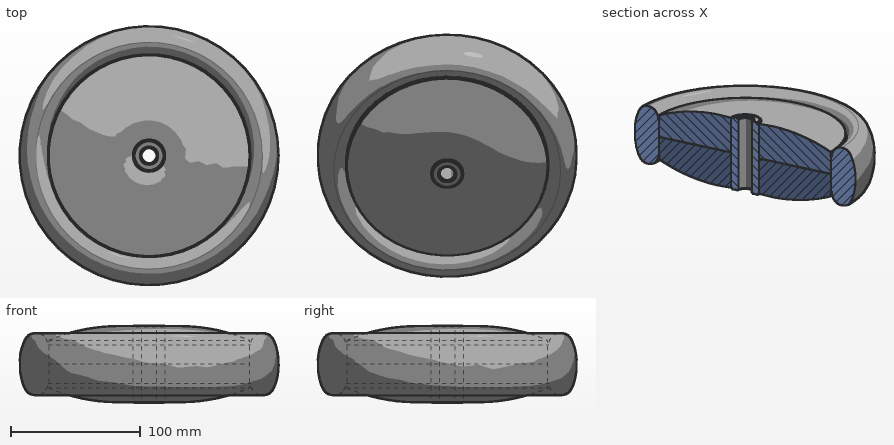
import cadquery as cq
import math

wheel_radius = 100.0
hub_half_length = 30.0

tyre_half_width = 24.0
crest_radius = 87.5
crown_edge = (97.8, 14.5)
shoulder = (93.2, 22.2)
lip_radius = 78.2

cover_radius = 77.5
cover_rim_height = 18.5
dome_mid_radius = 56.5
dome_mid_height = 25.5
dome_hub_height = 29.0

hub_radius = 12.5
bore_radius = 5.8
hub_chamfer = 1.2


def revolve_about_axle(profile):
    """Turn a closed (radius, height) profile once around the Z axis."""
    return profile.close().revolve(360, (0, 0, 0), (0, 1, 0))


def make_tyre():
    """Rounded ring, with a narrow ledge beside each cover's edge."""
    def mirrored(point):
        return (point[0], -point[1])

    inner_round = crest_radius - lip_radius
    ledge_height = tyre_half_width - inner_round
    diagonal = inner_round * math.sqrt(0.5)
    inner_mid = (crest_radius - diagonal, ledge_height + diagonal)
    crest = (crest_radius, tyre_half_width)
    lip = (lip_radius, ledge_height)
    ledge = (cover_radius, ledge_height)
    tread = [
        mirrored(shoulder),
        mirrored(crown_edge),
        (wheel_radius, 0),
        crown_edge,
        shoulder,
        crest,
    ]

    profile = (
        cq.Workplane("XZ")
        .moveTo(*mirrored(ledge))
        .lineTo(*mirrored(lip))
        .threePointArc(mirrored(inner_mid), mirrored(crest))
        .spline(tread, includeCurrent=True)
        .threePointArc(inner_mid, lip)
        .lineTo(*ledge)
    )
    return revolve_about_axle(profile)


def make_cover(side):
    """Domed disc from the mid-plane outwards; side is +1 (top) or -1 (bottom)."""
    profile = (
        cq.Workplane("XZ")
        .moveTo(hub_radius, 0)
        .lineTo(cover_radius, 0)
        .lineTo(cover_radius, side * cover_rim_height)
        .threePointArc(
            (dome_mid_radius, side * dome_mid_height),
            (hub_radius, side * dome_hub_height),
        )
    )
    return revolve_about_axle(profile)


def make_hub():
    """Sleeve through both covers, chamfered at the bore and rim of each end."""
    return (
        cq.Workplane("XY")
        .workplane(offset=-hub_half_length)
        .circle(hub_radius)
        .circle(bore_radius)
        .extrude(2 * hub_half_length)
        .faces("<Z or >Z")
        .edges()
        .chamfer(hub_chamfer)
    )


tyre = make_tyre()
covers = [make_cover(side) for side in (1, -1)]
hub = make_hub()

result = cq.Compound.makeCompound([tyre.val(), *[cover.val() for cover in covers], hub.val()])